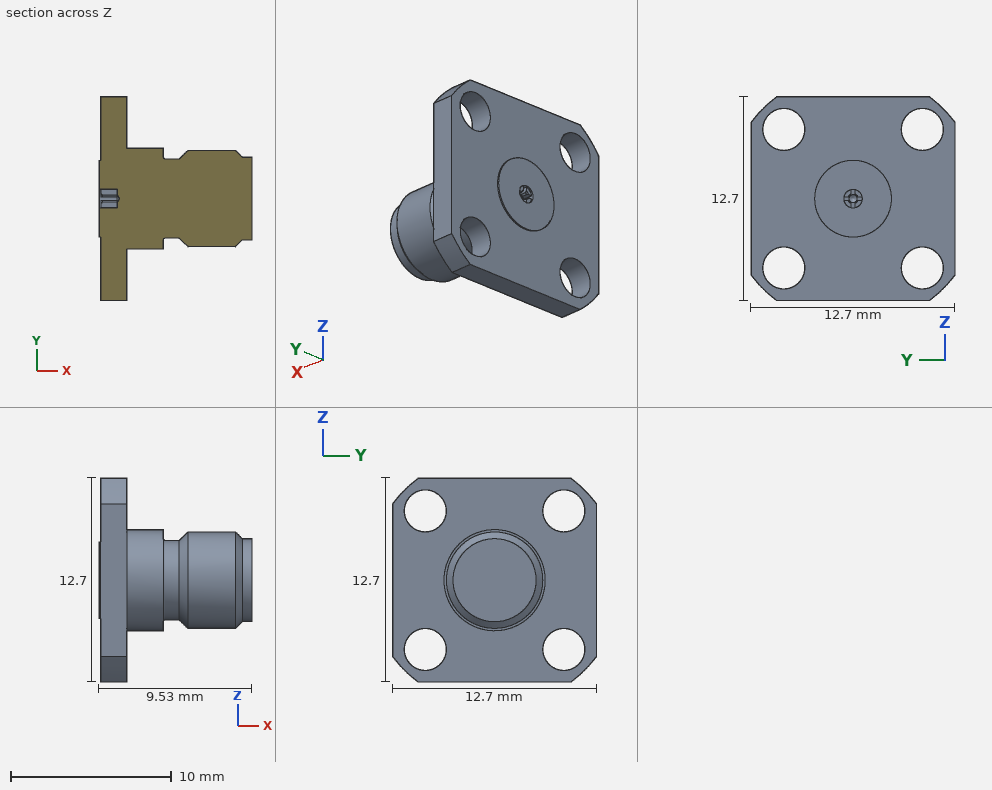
import math

import cadquery as cq

flange_size = 12.7
flange_thickness = 1.63
corner_flat_length = 9.5
corner_circle_radius = math.hypot(flange_size / 2, corner_flat_length / 2)
mount_hole_diameter = 2.6
mount_hole_pitch = 8.62

insulator_diameter = 4.78
insulator_height = 0.1

total_length = 9.525
barrel_end = total_length - insulator_height
shoulder_end = 3.91
neck_end = 4.89
thread_start = 5.43
thread_end = 8.4
shoulder_diameter = 6.3
neck_fillet_radius = 0.1
neck_diameter = 4.96
thread_diameter = 6.0
tip_diameter = 5.17
tip_start = thread_end + (thread_diameter - tip_diameter) / 2

contact_diameter = 1.15
contact_recess = 0.12
bore_diameter = 0.5
bore_mouth_diameter = 0.64
bore_chamfer_depth = 0.1
bore_depth = 1.0
drill_tip_half_angle = math.radians(59)
slot_width = 0.23
slot_depth = 1.0


def make_flange():
    """Square plate with its corners rounded by a circle about the axis."""
    square = cq.Workplane("YZ").rect(flange_size, flange_size).extrude(flange_thickness)
    disc = cq.Workplane("YZ").circle(corner_circle_radius).extrude(flange_thickness)
    holes = (
        cq.Workplane("YZ")
        .rect(mount_hole_pitch, mount_hole_pitch, forConstruction=True)
        .vertices()
        .circle(mount_hole_diameter / 2)
        .extrude(flange_thickness)
    )
    return square.intersect(disc).cut(holes)


def revolve_about_axis(open_profile):
    """Close a profile drawn as (x, radius) and turn it about the X axis."""
    return open_profile.close().revolve(360, (0, 0, 0), (1, 0, 0))


def make_turned_body():
    """Insulator disc, shoulder, neck, thread envelope and tip as one turned shape."""
    neck_radius = neck_diameter / 2
    fillet_top = (shoulder_end, neck_radius + neck_fillet_radius)
    fillet_end = (shoulder_end + neck_fillet_radius, neck_radius)
    fillet_inset = neck_fillet_radius * (1 - math.sqrt(0.5))
    fillet_middle = (shoulder_end + fillet_inset, neck_radius + fillet_inset)
    profile = (
        cq.Workplane("XY")
        .polyline([
            (-insulator_height, 0),
            (-insulator_height, insulator_diameter / 2),
            (0, insulator_diameter / 2),
            (0, shoulder_diameter / 2),
            (shoulder_end, shoulder_diameter / 2),
            fillet_top,
        ])
        .threePointArc(fillet_middle, fillet_end)
        .lineTo(neck_end, neck_radius)
        .lineTo(thread_start, thread_diameter / 2)
        .lineTo(thread_end, thread_diameter / 2)
        .lineTo(tip_start, tip_diameter / 2)
        .lineTo(barrel_end, tip_diameter / 2)
        .lineTo(barrel_end, 0)
    )
    return revolve_about_axis(profile)


def make_contact_bore():
    """Recess, chamfered bore and conical bore bottom of the socket contact."""
    contact_face = contact_recess - insulator_height
    bore_radius = bore_diameter / 2
    mouth_radius = bore_mouth_diameter / 2
    bore_end = contact_face + bore_depth
    profile = cq.Workplane("XY").polyline([
        (-insulator_height, 0),
        (-insulator_height, contact_diameter / 2),
        (contact_face, contact_diameter / 2),
        (contact_face, mouth_radius),
        (contact_face + bore_chamfer_depth, bore_radius),
        (bore_end, bore_radius),
        (bore_end + bore_radius / math.tan(drill_tip_half_angle), 0),
    ])
    return revolve_about_axis(profile)


def make_contact_slots():
    """Two crossed slots that split the contact into four fingers."""
    slot_length = contact_recess + slot_depth
    base = cq.Workplane("YZ", origin=(-insulator_height, 0, 0))
    envelope = base.circle(contact_diameter / 2).extrude(slot_length)
    slot_along_y = base.rect(contact_diameter, slot_width).extrude(slot_length)
    slot_along_z = base.rect(slot_width, contact_diameter).extrude(slot_length)
    return slot_along_y.union(slot_along_z).intersect(envelope)


body = make_flange().union(make_turned_body())
result = body.cut(make_contact_bore()).cut(make_contact_slots())